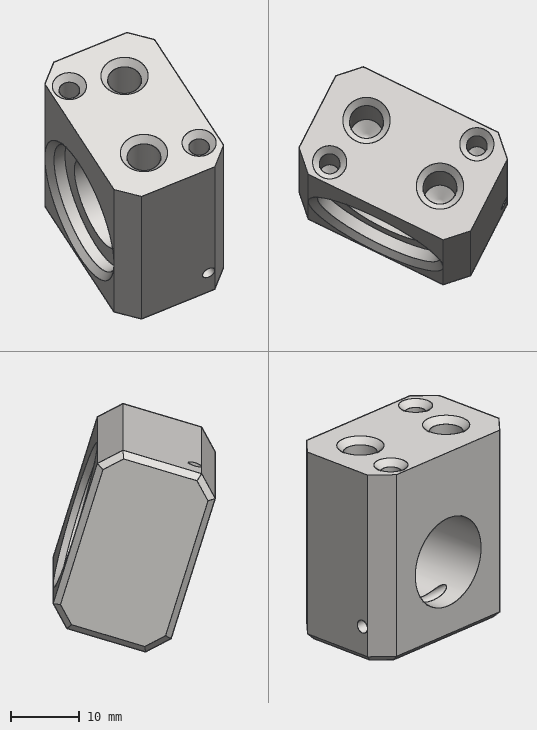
import cadquery as cq
import math

HEIGHT = 30.0
WIDTH = 28.0
DEPTH = 18.0
CORNER_CHAMFER = 3.0
EDGE_CHAMFER = 1.0

BORE_DIAMETER = 14.0
BORE_HEIGHT = 12.5
SEAT_DIAMETER = 20.0
SEAT_DEPTH = 2.8

LARGE_HOLE_DIAMETER = 4.92
LARGE_HOLE_POSITION = (-7.0, 2.0)
LARGE_HOLE_DEPTH = 10.0
SMALL_HOLE_DIAMETER = 3.0
SMALL_HOLE_POSITION = (9.0, 6.0)
SMALL_HOLE_DEPTH = 8.0
DRILL_POINT_ANGLE = 118.0

CROSS_HOLE_DIAMETER = 2.0
CROSS_HOLE_HEIGHT = 5.5
CROSS_HOLE_Y = DEPTH / 2 - CORNER_CHAMFER - CROSS_HOLE_DIAMETER / 2


def make_block():
    block = cq.Workplane("XY").box(WIDTH, DEPTH, HEIGHT, centered=(True, True, False))
    block = block.edges("|Z").chamfer(CORNER_CHAMFER)
    return block.faces("<Z").chamfer(EDGE_CHAMFER)


def make_main_bore():
    front = cq.Workplane("XZ", origin=(0, -DEPTH / 2, BORE_HEIGHT))
    bore = front.circle(BORE_DIAMETER / 2).extrude(-DEPTH)
    seat = front.circle(SEAT_DIAMETER / 2).extrude(-SEAT_DEPTH)
    mouth = cq.Workplane(
        cq.Solid.makeCone(
            SEAT_DIAMETER / 2 + EDGE_CHAMFER,
            SEAT_DIAMETER / 2,
            EDGE_CHAMFER,
            pnt=cq.Vector(0, -DEPTH / 2, BORE_HEIGHT),
            dir=cq.Vector(0, 1, 0),
        )
    )
    return bore.union(seat).union(mouth)


def make_drilled_hole(diameter, depth, x, y):
    """Countersunk blind hole with a drill point below its full-diameter depth."""
    radius = diameter / 2
    point_length = radius / math.tan(math.radians(DRILL_POINT_ANGLE / 2))
    profile = [
        (0, 0),
        (radius + EDGE_CHAMFER, 0),
        (radius, -EDGE_CHAMFER),
        (radius, -depth),
        (0, -depth - point_length),
    ]
    hole = cq.Workplane("XZ").polyline(profile).close()
    return hole.revolve(360, (0, 0), (0, 1)).translate((x, y, HEIGHT))


def make_cross_hole():
    side = cq.Workplane("YZ", origin=(-WIDTH / 2, CROSS_HOLE_Y, CROSS_HOLE_HEIGHT))
    return side.circle(CROSS_HOLE_DIAMETER / 2).extrude(WIDTH)


result = make_block().cut(make_main_bore()).cut(make_cross_hole())

for diameter, depth, (hole_x, hole_y) in (
    (LARGE_HOLE_DIAMETER, LARGE_HOLE_DEPTH, LARGE_HOLE_POSITION),
    (SMALL_HOLE_DIAMETER, SMALL_HOLE_DEPTH, SMALL_HOLE_POSITION),
):
    for side_sign in (1, -1):
        result = result.cut(make_drilled_hole(diameter, depth, side_sign * hole_x, side_sign * hole_y))